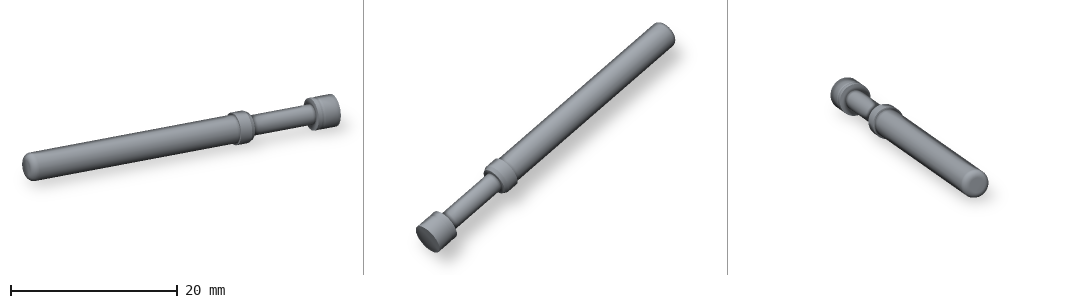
import cadquery as cq

total_length = 41.5
head_diameter = 4.0
plunger_diameter = 2.5
collar_diameter = head_diameter
barrel_diameter = 3.5

head_length = 3.0
plunger_length = 8.5
collar_length = 2.0

groove_offset = 2.0
groove_width = 0.5
groove_depth = 0.05
collar_taper_length = 0.5
collar_taper_depth = 0.25
tip_radius = 0.8

collar_back = total_length - head_length - plunger_length
collar_front = collar_back - collar_length
head_back = total_length - head_length


def cylinder(diameter, start, end):
    """Solid cylinder on the Y axis between two stations."""
    return (
        cq.Workplane("XZ", origin=(0, start, 0))
        .circle(diameter / 2)
        .extrude(start - end)
    )


def barrel():
    """Long tube body with its free end rounded."""
    body = cylinder(barrel_diameter, 0, collar_front)
    return body.faces("<Y").edges().fillet(tip_radius)


def collar():
    """Stop collar, tapered on the plunger side."""
    ring = cylinder(collar_diameter, collar_front, collar_back)
    return ring.faces(">Y").chamfer(collar_taper_length, collar_taper_depth)


def head_groove():
    """Shallow V-groove ring to cut from the head."""
    radius = head_diameter / 2
    outer_edge = total_length - groove_offset
    inner_edge = outer_edge - groove_width
    middle = (outer_edge + inner_edge) / 2
    return (
        cq.Workplane("XY")
        .polyline([(radius, inner_edge), (radius - groove_depth, middle), (radius, outer_edge)])
        .close()
        .revolve(360, (0, 0, 0), (0, 1, 0))
    )


plunger = cylinder(plunger_diameter, collar_back, head_back)
head = cylinder(head_diameter, head_back, total_length).cut(head_groove())

result = barrel().union(collar()).union(plunger).union(head)